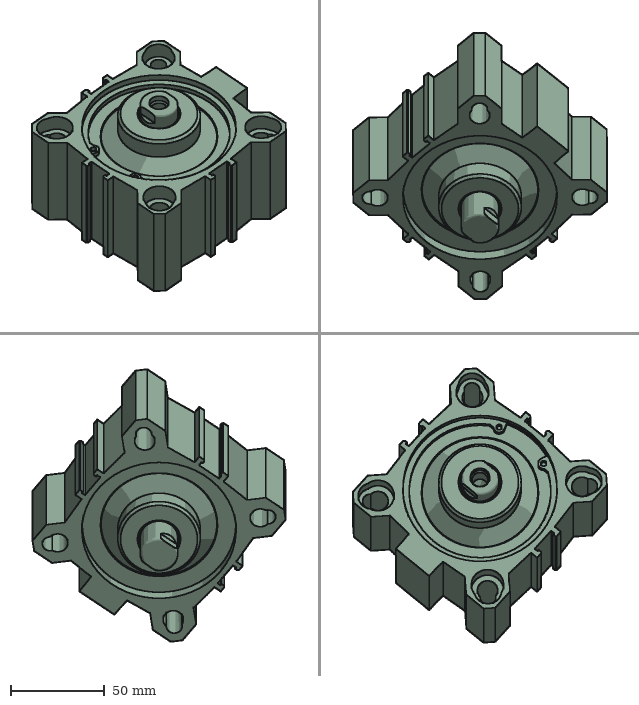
import cadquery as cq
import math


BODY_HEIGHT = 56.0
BODY_HALF = 50.0
PAD_CHAMFER = 4.4
PAD_INNER = 33.5
PAD_DEPTH = 7.1
WALL_MID = 44.25

RAIL_OUTER = 9.7
RAIL_INNER = 6.7
RAIL_TOP = 48.5
LIP_START = 46.3
LIP_INNER = 5.8
LIP_CHAMFER = 0.6
RAIL_ROOT = 1.0

PORT_TOP = 55.0
PORT_BASE_WIDTH = 24.1
PORT_TOP_WIDTH = 23.5
PORT_TAPER_END = 49.5

HOLE_OFFSET = 38.5
HOLE_DIAMETER = 10.8
HOLE_LOBE_OFFSET = 41.35
HOLE_LOBE_DIAMETER = 8.38
COUNTERBORE_DIAMETER = 17.2
COUNTERBORE_LOBE_OFFSET = 40.8
COUNTERBORE_LOBE_DIAMETER = 14.6
COUNTERBORE_DEPTH = 9.0

BORE_DIAMETER = 80.0
SEAT_DIAMETER = 82.1
RING_DIAMETER = 85.6
RING_INNER_DIAMETER = 75.4
RING_THICKNESS = 2.7
RING_DEPTH = 3.7
LUG_RADIUS = 3.0
LUG_HOLE_DIAMETER = 3.0
LUG_X = 15.65
LUG_Y = -33.75
LUG_WEB_Y = -31.6

COVER_DIAMETER = 81.7
FLANGE_DEPTH = RING_DEPTH + RING_THICKNESS
FLANGE_THICKNESS = 10.0
CONE_BASE_DIAMETER = 62.4
CONE_MARGIN = 0.4
CONE_RECESS = 0.4
CONE_TOP_DIAMETER = 44.8
CONE_HEIGHT = 5.0
BOSS_DIAMETER = 44.0
BOSS_ROOT_HEIGHT = 0.4
BOSS_PROJECTION = 10.0
BOSS_CHAMFER = 1.5
MOUTH_DIAMETER = 23.0
RELIEF_DIAMETER = 21.9
SCRAPER_DIAMETER = 20.6
SCRAPER_TOP_DEPTH = 1.2
RELIEF_DEPTH = 2.0

ROD_DIAMETER = 20.0
ROD_UPPER_PROJECTION = 8.0
ROD_LOWER_PROJECTION = 18.0
ROD_FILLET = 1.6
FLAT_WIDTH = 17.0
FLAT_LENGTH = 5.75
ROD_HOLE_DIAMETER = 10.25
ROD_HOLE_DEPTH = 3.2
DRILL_DIAMETER = 8.38
DRILL_DEPTH = 15.0
DRILL_POINT_ANGLE = 118.0

SEAT_DEPTH = FLANGE_DEPTH + FLANGE_THICKNESS
BODY_MIDDLE = BODY_HEIGHT / 2
COVER_TOP = BODY_HEIGHT + BOSS_PROJECTION


def cylinder(diameter, bottom, top):
    return cq.Workplane("XY").workplane(offset=bottom).circle(diameter / 2).extrude(top - bottom)


def side_wall_points():
    """One side of the housing, from its left pad to its right pad, on the -Y side."""
    flank = PAD_INNER - PAD_DEPTH
    right_half = [
        (RAIL_OUTER, -WALL_MID),
        (flank, -(BODY_HALF - PAD_DEPTH)),
        (PAD_INNER, -BODY_HALF),
        (BODY_HALF - PAD_CHAMFER, -BODY_HALF),
    ]
    left_half = [(-x, y) for x, y in reversed(right_half)]
    return left_half + right_half


def turned(points, angle):
    c = math.cos(math.radians(angle))
    s = math.sin(math.radians(angle))
    return [(x * c - y * s, x * s + y * c) for x, y in points]


def rail_pair():
    """Two hooked ribs on the -Y wall, their lips facing each other."""
    profile = [
        (RAIL_OUTER, -(WALL_MID - RAIL_ROOT)),
        (RAIL_OUTER, -RAIL_TOP),
        (LIP_INNER + LIP_CHAMFER, -RAIL_TOP),
        (LIP_INNER, -(RAIL_TOP - LIP_CHAMFER)),
        (LIP_INNER, -LIP_START),
        (RAIL_INNER, -LIP_START),
        (RAIL_INNER, -(WALL_MID - RAIL_ROOT)),
    ]
    rail = cq.Workplane("XY").polyline(profile).close().extrude(BODY_HEIGHT)
    return rail.union(rail.mirror("YZ"))


def port_block():
    base = PORT_BASE_WIDTH / 2
    top = PORT_TOP_WIDTH / 2
    profile = [
        (base, WALL_MID - RAIL_ROOT),
        (base, WALL_MID),
        (top, PORT_TAPER_END),
        (top, PORT_TOP),
    ]
    outline = profile + [(-x, y) for x, y in reversed(profile)]
    return cq.Workplane("XY").polyline(outline).close().extrude(BODY_HEIGHT)


def corner_hole(diameter, offset, lobe_diameter, lobe_offset, bottom):
    main = cylinder(diameter, bottom, BODY_HEIGHT).translate((offset, offset, 0))
    lobe = cylinder(lobe_diameter, bottom, BODY_HEIGHT).translate((lobe_offset, lobe_offset, 0))
    return main.union(lobe)


def make_housing():
    outline = []
    for quarter in range(4):
        outline += turned(side_wall_points(), 90 * quarter)
    body = cq.Workplane("XY").polyline(outline).close().extrude(BODY_HEIGHT)

    for angle in (-90, 0, 90):
        body = body.union(rail_pair().rotate((0, 0, 0), (0, 0, 1), angle))
    body = body.union(port_block())

    hole = corner_hole(HOLE_DIAMETER, HOLE_OFFSET, HOLE_LOBE_DIAMETER, HOLE_LOBE_OFFSET, 0)
    counterbore = corner_hole(
        COUNTERBORE_DIAMETER,
        HOLE_OFFSET,
        COUNTERBORE_LOBE_DIAMETER,
        COUNTERBORE_LOBE_OFFSET,
        BODY_HEIGHT - COUNTERBORE_DEPTH,
    )
    fastener_hole = hole.union(counterbore)
    for quarter in range(4):
        body = body.cut(fastener_hole.rotate((0, 0, 0), (0, 0, 1), 90 * quarter))

    groove_top = BODY_HEIGHT - RING_DEPTH
    body = body.cut(cylinder(BORE_DIAMETER, 0, BODY_HEIGHT))
    body = body.cut(cylinder(SEAT_DIAMETER, 0, SEAT_DEPTH))
    body = body.cut(cylinder(SEAT_DIAMETER, BODY_HEIGHT - SEAT_DEPTH, BODY_HEIGHT))
    return body.cut(cylinder(RING_DIAMETER, groove_top - RING_THICKNESS, groove_top))


def make_upper_cover():
    flange_top = BODY_HEIGHT - FLANGE_DEPTH
    flange_bottom = flange_top - FLANGE_THICKNESS
    cone_top = flange_top + CONE_HEIGHT
    boss_radius = BOSS_DIAMETER / 2
    profile = [
        (0, flange_bottom),
        (COVER_DIAMETER / 2, flange_bottom),
        (COVER_DIAMETER / 2, flange_top),
        (CONE_BASE_DIAMETER / 2, flange_top),
        (CONE_BASE_DIAMETER / 2 - CONE_MARGIN, flange_top - CONE_RECESS),
        (CONE_TOP_DIAMETER / 2, cone_top),
        (boss_radius, cone_top + BOSS_ROOT_HEIGHT),
        (boss_radius, COVER_TOP - BOSS_CHAMFER),
        (boss_radius - BOSS_CHAMFER, COVER_TOP),
        (0, COVER_TOP),
    ]
    cover = cq.Workplane("XZ").polyline(profile).close().revolve(360, (0, 0, 0), (0, 1, 0))

    rod_radius = ROD_DIAMETER / 2
    scraper_radius = SCRAPER_DIAMETER / 2
    relief_radius = RELIEF_DIAMETER / 2
    mouth_radius = MOUTH_DIAMETER / 2
    mouth_depth = mouth_radius - relief_radius
    passage = [
        (0, flange_bottom),
        (rod_radius, flange_bottom),
        (rod_radius, COVER_TOP - RELIEF_DEPTH),
        (scraper_radius, COVER_TOP - RELIEF_DEPTH),
        (scraper_radius, COVER_TOP - SCRAPER_TOP_DEPTH),
        (relief_radius, COVER_TOP - SCRAPER_TOP_DEPTH),
        (relief_radius, COVER_TOP - mouth_depth),
        (mouth_radius, COVER_TOP),
        (0, COVER_TOP),
    ]
    return cover.cut(cq.Workplane("XZ").polyline(passage).close().revolve(360, (0, 0, 0), (0, 1, 0)))


def make_lower_cover(upper_cover):
    return upper_cover.mirror("XY", (0, 0, BODY_MIDDLE))


def make_retaining_ring():
    """Open ring whose two ends carry lugs with plier holes."""
    bottom = BODY_HEIGHT - RING_DEPTH - RING_THICKNESS
    top = bottom + RING_THICKNESS
    outer = RING_DIAMETER / 2

    lug_distance = math.hypot(LUG_X, LUG_Y)
    end_angle = math.atan2(LUG_X, -LUG_Y) - math.asin(LUG_RADIUS / lug_distance)
    tangent_distance = math.sqrt(lug_distance**2 - LUG_RADIUS**2)
    tangent_point = (tangent_distance * math.sin(end_angle), -tangent_distance * math.cos(end_angle))
    end_point = (outer / math.cos(end_angle) * math.sin(end_angle), -outer)
    web_start = (math.sqrt((RING_INNER_DIAMETER / 2) ** 2 - LUG_WEB_Y**2), LUG_WEB_Y)

    gap = [(0, 0), end_point, (-end_point[0], -outer)]
    web = [web_start, (LUG_X, LUG_WEB_Y), (LUG_X, LUG_Y), tangent_point, end_point, (web_start[0], -outer)]

    plane = cq.Workplane("XY").workplane(offset=bottom)
    ring = cylinder(RING_DIAMETER, bottom, top).cut(cylinder(RING_INNER_DIAMETER, bottom, top))
    ring = ring.cut(plane.polyline(gap).close().extrude(RING_THICKNESS))
    lug = cylinder(2 * LUG_RADIUS, bottom, top).translate((LUG_X, LUG_Y, 0))
    lug = lug.union(plane.polyline(web).close().extrude(RING_THICKNESS))
    lug = lug.intersect(cylinder(RING_DIAMETER, bottom, top))
    ring = ring.union(lug).union(lug.mirror("YZ"))
    holes = plane.pushPoints([(-LUG_X, LUG_Y), (LUG_X, LUG_Y)]).circle(LUG_HOLE_DIAMETER / 2)
    return ring.cut(holes.extrude(RING_THICKNESS))


def rod_end_hole(rod_top):
    """Stepped blind hole with a drill point."""
    hole_radius = ROD_HOLE_DIAMETER / 2
    drill_radius = DRILL_DIAMETER / 2
    step = hole_radius - drill_radius
    point = drill_radius / math.tan(math.radians(DRILL_POINT_ANGLE / 2))
    profile = [
        (0, rod_top),
        (hole_radius, rod_top),
        (hole_radius, rod_top - ROD_HOLE_DEPTH),
        (drill_radius, rod_top - ROD_HOLE_DEPTH - step),
        (drill_radius, rod_top - DRILL_DEPTH),
        (0, rod_top - DRILL_DEPTH - point),
    ]
    return cq.Workplane("XZ").polyline(profile).close().revolve(360, (0, 0, 0), (0, 1, 0))


def wrench_flat(rod_end, inward):
    """Cutter for the flat on the -Y side of one rod end; it runs out at 45 degrees."""
    rod_radius = ROD_DIAMETER / 2
    flat = FLAT_WIDTH / 2
    run_out = FLAT_LENGTH + rod_radius - flat
    profile = [
        (-flat, rod_end),
        (-flat, rod_end + inward * FLAT_LENGTH),
        (-rod_radius, rod_end + inward * run_out),
        (-rod_radius, rod_end),
    ]
    return cq.Workplane("YZ").polyline(profile).close().extrude(rod_radius, both=True)


def make_rod():
    rod_top = COVER_TOP + ROD_UPPER_PROJECTION
    rod_bottom = -BOSS_PROJECTION - ROD_LOWER_PROJECTION
    rod = cylinder(ROD_DIAMETER, rod_bottom, rod_top)
    rod = rod.faces("<Z or >Z").edges().fillet(ROD_FILLET)
    for rod_end, inward in ((rod_top, -1), (rod_bottom, 1)):
        flat = wrench_flat(rod_end, inward)
        rod = rod.cut(flat).cut(flat.mirror("XZ"))
    return rod.cut(rod_end_hole(rod_top))


housing = make_housing()
upper_cover = make_upper_cover()
lower_cover = make_lower_cover(upper_cover)
retaining_ring = make_retaining_ring()
rod = make_rod()

result = cq.Compound.makeCompound(
    [housing.val(), upper_cover.val(), lower_cover.val(), retaining_ring.val(), rod.val()]
)